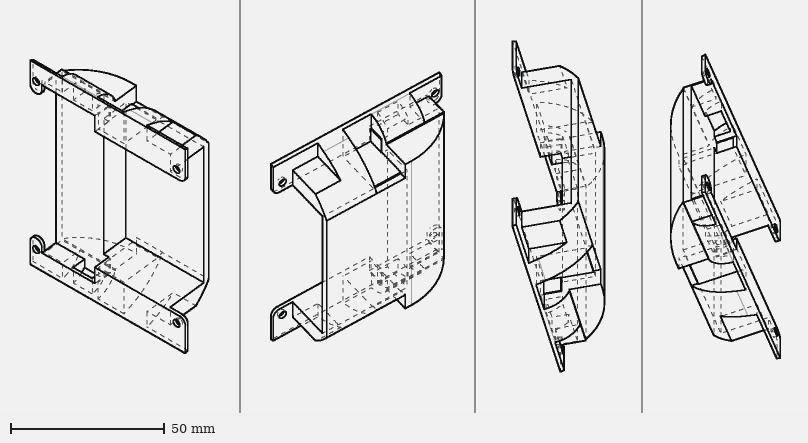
import cadquery as cq

width = 67.8
depth = 20.4
height = 87.4
half_height = height / 2
flange_depth = 1.3
sheet = 0.6

body_left = 5.15
body_right = 60.0
shield_half_height = 35.9
shield_front = 6.9
shield_edge_back = 9.8
curve_end_x = 25.95

wall = 2.45
pocket_left = curve_end_x
housing_left = pocket_left + wall
partition = 0.35
pocket_half_height = 29.1
pocket_back = depth - wall
housing_top = pocket_half_height + sheet
step_top = shield_half_height + sheet

short_hood_left = 12.9
tall_hood_left = 39.8
step_left = 49.9
step_back = 14.1
bevel_depth = 4.5
bevel_height = 42.0
short_hood_bulge = (7.1, 40.55)
hood_hollow_left = 17.65

lug_radius = body_left / 2
lug_end = 31.0
corner_radius = 2.6
hole_diameter = 2.8
left_hole_z = 36.0
right_hole_x = 64.0
right_hole_z = 32.9


def box(x0, x1, y0, y1, z0, z1):
    """Box given by its limits along the three axes."""
    return cq.Workplane("XY").box(x1 - x0, y1 - y0, z1 - z0, centered=False).translate((x0, y0, z0))


def slope_profile(x):
    """Bevel and long curve falling from the flange edge to the back of the housing."""
    return (
        cq.Workplane("YZ", origin=(x, 0, 0))
        .moveTo(0, pocket_half_height)
        .lineTo(0, half_height)
        .lineTo(bevel_depth, bevel_height)
        .threePointArc((step_back, step_top), (depth, pocket_half_height))
        .close()
    )


def short_hood_profile():
    """Section of the hood behind the left part of the flange."""
    return (
        cq.Workplane("YZ", origin=(short_hood_left, 0, 0))
        .moveTo(flange_depth, shield_half_height)
        .lineTo(flange_depth, half_height - flange_depth * (half_height - bevel_height) / bevel_depth)
        .threePointArc(short_hood_bulge, (shield_edge_back, step_top))
        .lineTo(shield_edge_back, shield_half_height)
        .close()
    )


def make_shield():
    """Full-height shield whose back bends smoothly into the flat back of the housing."""
    run = curve_end_x - body_left
    rise = depth - shield_edge_back
    radius = (run**2 + rise**2) / (2 * rise)
    mid_x = body_left + run / 2
    mid_y = depth - radius + (radius**2 - (run / 2) ** 2) ** 0.5
    return (
        cq.Workplane("XY", origin=(0, 0, -shield_half_height))
        .moveTo(body_left, shield_front)
        .lineTo(body_left, shield_edge_back)
        .threePointArc((mid_x, mid_y), (curve_end_x, depth))
        .lineTo(housing_left, depth)
        .lineTo(housing_left, shield_front)
        .close()
        .extrude(2 * shield_half_height)
    )


def make_flange():
    """Upper flange with a rounded lug, a rounded corner, two holes and a bevelled top."""
    flange = (
        cq.Workplane("XZ")
        .moveTo(0, half_height)
        .lineTo(0, lug_end + lug_radius)
        .threePointArc((lug_radius, lug_end), (body_left, lug_end + lug_radius))
        .lineTo(body_left, shield_half_height)
        .lineTo(housing_left, shield_half_height)
        .lineTo(housing_left, pocket_half_height)
        .lineTo(width - corner_radius, pocket_half_height)
        .radiusArc((width, pocket_half_height + corner_radius), -corner_radius)
        .lineTo(width, half_height)
        .close()
        .extrude(-flange_depth)
    )
    holes = (
        cq.Workplane("XZ")
        .pushPoints([(lug_radius, left_hole_z), (right_hole_x, right_hole_z)])
        .circle(hole_diameter / 2)
        .extrude(-flange_depth)
    )
    return flange.intersect(slope_profile(0).extrude(width)).cut(holes)


def make_short_hood():
    """Hood with a cavity that opens into the space in front of the shield."""
    hood = short_hood_profile().extrude(housing_left - short_hood_left)
    cavity = short_hood_profile().extrude(housing_left - short_hood_left).translate((0, -sheet, -sheet))
    limits = box(
        hood_hollow_left, pocket_left,
        flange_depth, shield_front, shield_half_height, half_height,
    )
    ledge = box(
        body_left, short_hood_left,
        flange_depth, shield_edge_back, shield_half_height, step_top,
    )
    return hood.cut(cavity.intersect(limits)).union(ledge)


def make_tall_hood():
    """Solid hood above the housing with a flat step at its right-hand end."""
    hood = slope_profile(tall_hood_left).extrude(body_right - tall_hood_left)
    step = box(step_left, body_right, flange_depth, step_back, step_top, half_height)
    return hood.cut(step)


def make_housing_top():
    """Thin sheet over the pocket, the shield end beside it and the partition in front of the shield."""
    cover = box(housing_left, tall_hood_left, 0, pocket_back, pocket_half_height, housing_top)
    side = box(
        pocket_left, housing_left,
        shield_front, pocket_back, pocket_half_height, shield_half_height,
    )
    divider = box(
        housing_left - partition / 2, housing_left + partition / 2,
        0, shield_front + partition, pocket_half_height, shield_half_height,
    )
    return cover.union(side).union(divider)


back_wall = box(pocket_left, body_right, pocket_back, depth, -pocket_half_height, pocket_half_height)
pocket = box(pocket_left, width, 0, pocket_back, -pocket_half_height, pocket_half_height)
body = make_shield().cut(pocket).union(back_wall)

upper_end = make_flange().union(make_short_hood()).union(make_tall_hood()).union(make_housing_top())
lower_end = upper_end.mirror("XY")

result = body.union(upper_end).union(lower_end)